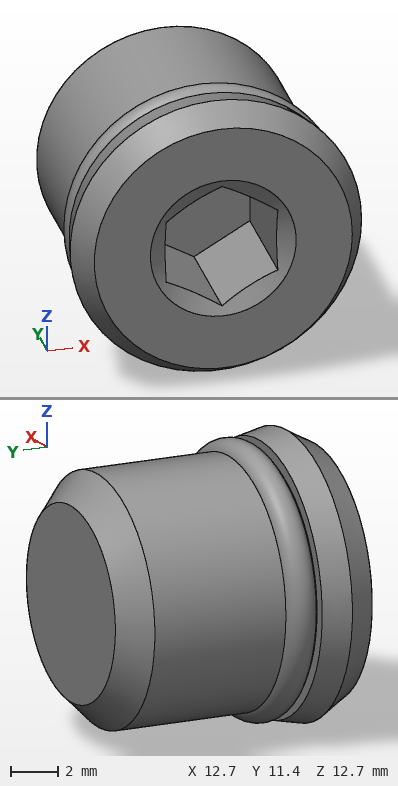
import cadquery as cq
import math

length = 11.43
front_y = -length / 2
back_y = length / 2

head_diameter = 12.7
head_front_diameter = 11.24
head_back_diameter = 12.15
head_thickness = 2.57
head_rim_y = front_y + head_thickness / 2
head_back_y = front_y + head_thickness

shank_diameter = 11.15
shank_chamfer = 1.25

ring_section = 1.5
ring_outer_diameter = 12.18
ring_center_radius = (ring_outer_diameter - ring_section) / 2
ring_center_y = head_back_y + ring_section / 2

hex_flats = 4.86
hex_corners = hex_flats / math.cos(math.radians(30))
socket_depth = 5.08
lead_in_diameter = 6.35
lead_in_slope = math.radians(30)
lead_in_depth = lead_in_diameter / 2 * math.tan(lead_in_slope)


def make_plug():
    """Head and shank revolved from one half profile in the XY plane."""
    shank_radius = shank_diameter / 2
    profile = [
        (0, front_y),
        (head_front_diameter / 2, front_y),
        (head_diameter / 2, head_rim_y),
        (head_back_diameter / 2, head_back_y),
        (shank_radius, head_back_y),
        (shank_radius, back_y - shank_chamfer),
        (shank_radius - shank_chamfer, back_y),
        (0, back_y),
    ]
    return cq.Workplane("XY").polyline(profile).close().revolve(360, (0, 0), (0, 1))


def make_ring():
    """Sealing ring, partly sunk into the shank."""
    section = cq.Workplane("XY").center(-ring_center_radius, ring_center_y).circle(ring_section / 2)
    return section.revolve(360, (ring_center_radius, 0), (ring_center_radius, 1))


def make_hex():
    """Hexagonal bore of the socket."""
    front_plane = cq.Plane(origin=(0, front_y, 0), xDir=(0, 0, 1), normal=(0, 1, 0))
    return cq.Workplane(front_plane).polygon(6, hex_corners).extrude(socket_depth)


def make_lead_in():
    """Cone that eases the mouth of the socket."""
    profile = [
        (0, front_y),
        (lead_in_diameter / 2, front_y),
        (0, front_y + lead_in_depth),
    ]
    return cq.Workplane("XY").polyline(profile).close().revolve(360, (0, 0), (0, 1))


result = make_plug().union(make_ring()).cut(make_hex()).cut(make_lead_in())